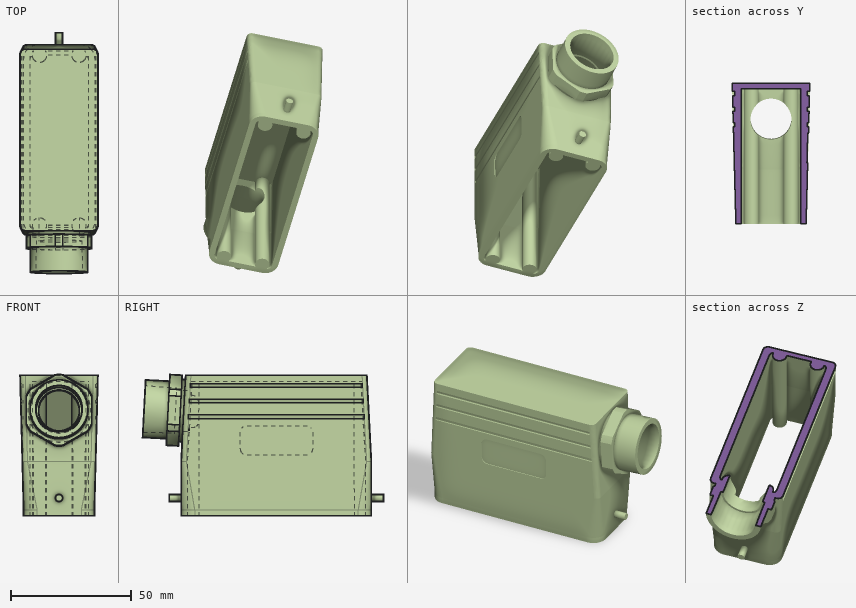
import cadquery as cq
import math

height = 58.4
rim_height = 2.5
shoulder_z = 22.6
top_width = 32.4
base_length = 79.0
rim_corner_radius = 5.6
upper_corner_radius = 2.1
side_flare = math.tan(math.radians(1.5))
end_tilt_angle = 3.0
end_slope = math.tan(math.radians(end_tilt_angle))

wall = 2.5
cavity_corner_radius = 2.0
column_diameter = 6.0
column_offset = 8.2

groove_width = 1.5
groove_pitch = 6.5
groove_count = 3
first_groove_z = 54.1
groove_floor_x = 15.1

badge_length = 30.1
badge_height = 12.1
badge_corner_radius = 2.7
badge_z = 31.4
badge_depth = 0.3

pin_diameter = 3.0
pin_tip_y = 44.5
pin_z = 7.4

gland_z = 43.6
collar_diameter = 26.0
collar_length = 1.4
hex_flats = 27.0
hex_length = 5.1
hex_corner_diameter = 29.5
tube_diameter = 24.0
tube_length = 10.0
mouth_diameter = 19.4
bore_diameter = 18.9
bore_depth = 13.0
passage_diameter = 17.0

gland_length = collar_length + hex_length + tube_length
cavity_top = height - wall


def width_at(z):
    return top_width - 2 * side_flare * (height - max(z, rim_height))


def length_at(z):
    return base_length - 2 * end_slope * max(z - shoulder_z, 0)


def section(width, length, radius, z):
    outline = cq.Sketch().rect(width, length).vertices().fillet(radius)
    return outline.moved(cq.Location(cq.Vector(0, 0, z)))


def body_section(z, radius):
    return section(width_at(z), length_at(z), radius, z)


def cavity_section(z):
    return section(width_at(0) - 2 * wall, length_at(z) - 2 * wall, cavity_corner_radius, z)


def loft_between(lower, upper):
    return cq.Workplane("XY").placeSketch(lower, upper).loft(ruled=True)


def make_body():
    rim_bottom = body_section(0, rim_corner_radius)
    rim_top = body_section(rim_height, rim_corner_radius)
    shoulder = body_section(shoulder_z, upper_corner_radius)
    top = body_section(height, upper_corner_radius)
    body = loft_between(rim_bottom, rim_top)
    body = body.union(loft_between(rim_top, shoulder))
    return body.union(loft_between(shoulder, top))


def make_cavity():
    """Space inside the hood, less a round column in each corner."""
    shoulder = cavity_section(shoulder_z)
    cavity = loft_between(cavity_section(0), shoulder)
    cavity = cavity.union(loft_between(shoulder, cavity_section(cavity_top)))
    columns = (
        cq.Workplane("XY")
        .rect(2 * column_offset, length_at(cavity_top) - 2 * wall, forConstruction=True)
        .vertices()
        .circle(column_diameter / 2)
        .extrude(height)
    )
    return cavity.cut(columns)


def make_groove(side, z):
    """Groove as long as the flat part of the side, with an upright floor."""
    length = length_at(z) - 2 * upper_corner_radius
    cutter = cq.Workplane("XY").box(top_width, length, groove_width)
    return cutter.translate((side * (groove_floor_x + top_width / 2), 0, z))


def make_badge_recess():
    """Rounded pocket cut square to the flaring side."""
    surface_x = -width_at(badge_z) / 2
    normal = cq.Vector(-1, 0, -side_flare)
    plane = cq.Plane(origin=(surface_x, 0, badge_z), xDir=(0, 1, 0), normal=normal)
    outline = cq.Sketch().rect(badge_length, badge_height).vertices().fillet(badge_corner_radius)
    return cq.Workplane(plane).placeSketch(outline).extrude(-badge_depth)


def make_pin(side):
    root_y = base_length / 2 - wall
    plane = cq.Plane(origin=(0, side * root_y, pin_z), xDir=(1, 0, 0), normal=(0, side, 0))
    return cq.Workplane(plane).circle(pin_diameter / 2).extrude(pin_tip_y - root_y)


gland_tilt = math.radians(end_tilt_angle)
gland_plane = cq.Plane(
    origin=(0, -length_at(gland_z) / 2, gland_z),
    xDir=(1, 0, 0),
    normal=(0, -math.cos(gland_tilt), math.sin(gland_tilt)),
)


def gland_disc(diameter, start, end):
    return cq.Workplane(gland_plane).workplane(offset=start).circle(diameter / 2).extrude(end - start)


def make_gland():
    """Collar, hexagon with corners turned round, and outer tube."""
    hex_end = collar_length + hex_length
    hexagon = (
        cq.Workplane(gland_plane)
        .workplane(offset=collar_length)
        .transformed(rotate=(0, 0, 90))
        .polygon(6, hex_flats / math.cos(math.pi / 6))
        .extrude(hex_length)
        .intersect(gland_disc(hex_corner_diameter, collar_length, hex_end))
    )
    collar = gland_disc(collar_diameter, -wall / 2, collar_length)
    tube = gland_disc(tube_diameter, hex_end, gland_length)
    return collar.union(hexagon).union(tube)


def make_bore():
    """Tapered bore from the mouth, then a narrower passage into the cavity."""
    bore_end = gland_length - bore_depth
    passage_end = -(wall + column_diameter)
    taper = (
        cq.Workplane(gland_plane)
        .workplane(offset=bore_end)
        .circle(bore_diameter / 2)
        .workplane(offset=bore_depth)
        .circle(mouth_diameter / 2)
        .loft()
    )
    return taper.union(gland_disc(passage_diameter, passage_end, bore_end))


result = make_body().cut(make_cavity())
for index in range(groove_count):
    for side in (-1, 1):
        result = result.cut(make_groove(side, first_groove_z - index * groove_pitch))
result = result.cut(make_badge_recess())
for side in (-1, 1):
    result = result.union(make_pin(side))
result = result.union(make_gland()).cut(make_bore())